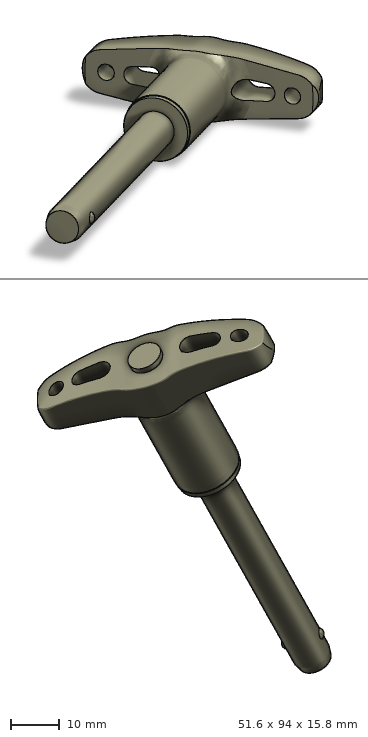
import cadquery as cq
import math

total_length = 94.0

shank_radius = 4.0
tip_radius = 3.6
tip_taper_length = 2.1

ball_radius = 1.4
ball_reach = 4.65
ball_y = 6.8

hub_radius = 7.2
hub_taper_radius = 7.1
collar_radius = 7.0
collar_start_y = 58.2
hub_start_y = 59.4
hub_full_y = 61.1

half_length = 25.8
half_height = 7.9
crown_half_width = 1.4
crown_edge_height = 7.8
handle_end_radius = 4.9

bottom_mid_y = 85.6
bottom_end_y = 85.2
crest_y = 93.6
crest_x = 8.0
dish_y = 92.7
dish_half_width = 2.4
top_end_x = 25.1
top_end_y = 90.6
end_bevel = 0.9
rim_fillet = 0.4
hub_fillet = 4.2

hole_radius = 1.8
hole_x = 20.3
slot_outer_radius = 2.0
slot_outer_x = 14.5
slot_inner_radius = 2.35
slot_inner_x = 10.1

button_radius = 3.62
button_depth = 2.8


def planform_solid():
    """Tapered handle outline with round ends, tall enough to contain the whole handle."""
    end_x = half_length - handle_end_radius
    dx = end_x - crown_half_width
    reach = math.hypot(dx, crown_edge_height)
    touch_angle = math.pi - math.atan2(crown_edge_height, dx) - math.acos(handle_end_radius / reach)
    touch_x = end_x + handle_end_radius * math.cos(touch_angle)
    touch_z = handle_end_radius * math.sin(touch_angle)
    return (
        cq.Workplane("XZ")
        .moveTo(-crown_half_width, crown_edge_height)
        .threePointArc((0, half_height), (crown_half_width, crown_edge_height))
        .lineTo(touch_x, touch_z)
        .threePointArc((half_length, 0), (touch_x, -touch_z))
        .lineTo(crown_half_width, -crown_edge_height)
        .threePointArc((0, -half_height), (-crown_half_width, -crown_edge_height))
        .lineTo(-touch_x, -touch_z)
        .threePointArc((-half_length, 0), (-touch_x, touch_z))
        .close()
        .extrude(-total_length)
    )


def thickness_solid():
    """Side profile of the handle: arched top with a central dish, slightly arched underside."""
    blend_x = (crest_x + dish_half_width) / 2
    blend_y = (crest_y + dish_y) / 2
    run = half_length - crest_x
    end_run = top_end_x - crest_x
    end_drop = crest_y - top_end_y
    arch_radius = (end_run**2 + end_drop**2) / (2 * end_drop)
    edge_y = crest_y - arch_radius + math.sqrt(arch_radius**2 - run**2)
    return (
        cq.Workplane("XY")
        .moveTo(-half_length, bottom_end_y)
        .threePointArc((0, bottom_mid_y), (half_length, bottom_end_y))
        .lineTo(half_length, edge_y)
        .threePointArc(
            (crest_x + run / 2, crest_y - arch_radius + math.sqrt(arch_radius**2 - run**2 / 4)),
            (crest_x, crest_y),
        )
        .tangentArcPoint((blend_x, blend_y), relative=False)
        .tangentArcPoint((dish_half_width, dish_y), relative=False)
        .lineTo(-dish_half_width, dish_y)
        .tangentArcPoint((-blend_x, blend_y), relative=False)
        .tangentArcPoint((-crest_x, crest_y), relative=False)
        .threePointArc(
            (-crest_x - run / 2, crest_y - arch_radius + math.sqrt(arch_radius**2 - run**2 / 4)),
            (-half_length, edge_y),
        )
        .close()
        .extrude(half_length, both=True)
    )


def revolved(outline):
    """Turn a half-section drawn in the XY plane about the pin axis."""
    return outline.close().revolve(360, (0, 0, 0), (0, 1, 0))


def end_envelope():
    """Turned body: leaning handle ends above, a 45-degree cone that bevels their lower edge below."""
    widest_y = bottom_end_y + end_bevel
    lean = (half_length - top_end_x) / (top_end_y - widest_y)
    rim_radius = half_length - lean * (total_length - widest_y)
    return revolved(
        cq.Workplane("XY")
        .moveTo(0, widest_y - half_length)
        .lineTo(half_length, widest_y)
        .lineTo(rim_radius, total_length)
        .lineTo(0, total_length)
    )


def flared_slab():
    """Thick slab with the handle profile, blended to a stub of the hub by a concave fillet."""
    stub_start_y = bottom_mid_y - 2 * hub_fillet
    stub_length = dish_y - stub_start_y - button_depth
    stub = cq.Workplane("XZ", origin=(0, stub_start_y, 0)).circle(hub_radius).extrude(-stub_length)
    slab = thickness_solid().union(stub)
    joint_box = cq.selectors.BoxSelector(
        (-hub_radius, bottom_end_y, -hub_radius), (hub_radius, bottom_mid_y + end_bevel, hub_radius)
    )
    return slab.edges(joint_box).fillet(hub_fillet)


def is_rim_edge(edge):
    """True for the outer border of the handle's top, but not for the seams across it."""
    center = edge.Center()
    on_top = center.y > (bottom_mid_y + crest_y) / 2
    across = abs(center.z) < rim_fillet and abs(center.x) <= crest_x + rim_fillet
    return on_top and not across


def slot_cutter():
    """Egg-shaped slot, wider toward the hub, along +X."""
    lean = math.asin((slot_inner_radius - slot_outer_radius) / (slot_outer_x - slot_inner_x))
    inner_x = slot_inner_x + slot_inner_radius * math.sin(lean)
    inner_z = slot_inner_radius * math.cos(lean)
    outer_x = slot_outer_x + slot_outer_radius * math.sin(lean)
    outer_z = slot_outer_radius * math.cos(lean)
    return (
        cq.Workplane("XZ")
        .moveTo(inner_x, inner_z)
        .lineTo(outer_x, outer_z)
        .threePointArc((slot_outer_x + slot_outer_radius, 0), (outer_x, -outer_z))
        .lineTo(inner_x, -inner_z)
        .threePointArc((slot_inner_x - slot_inner_radius, 0), (inner_x, inner_z))
        .close()
        .extrude(-total_length)
    )


def handle():
    """T-handle with its flare, slots and holes."""
    body = flared_slab().intersect(planform_solid()).intersect(end_envelope())
    body = body.edges().filter(is_rim_edge).fillet(rim_fillet)
    slot = slot_cutter()
    hole_centers = [(-hole_x, 0), (hole_x, 0)]
    holes = cq.Workplane("XZ").pushPoints(hole_centers).circle(hole_radius).extrude(-total_length)
    return body.cut(slot).cut(slot.mirror("YZ")).cut(holes)


def pin():
    """Shank, collar, hub and release button as one turned body."""
    button_base_y = dish_y - button_depth
    return revolved(
        cq.Workplane("XY")
        .lineTo(tip_radius, 0)
        .lineTo(shank_radius, tip_taper_length)
        .lineTo(shank_radius, collar_start_y)
        .lineTo(collar_radius, collar_start_y)
        .lineTo(collar_radius, hub_start_y)
        .lineTo(hub_taper_radius, hub_start_y)
        .lineTo(hub_radius, hub_full_y)
        .lineTo(hub_radius, button_base_y)
        .lineTo(button_radius, button_base_y)
        .lineTo(button_radius, total_length)
        .lineTo(0, total_length)
    )


def locking_balls():
    """Two balls standing proud of the shank on opposite sides."""
    ball_x = ball_reach - ball_radius
    return cq.Workplane("XY").pushPoints([(-ball_x, ball_y), (ball_x, ball_y)]).sphere(ball_radius)


result = handle().union(pin()).union(locking_balls())